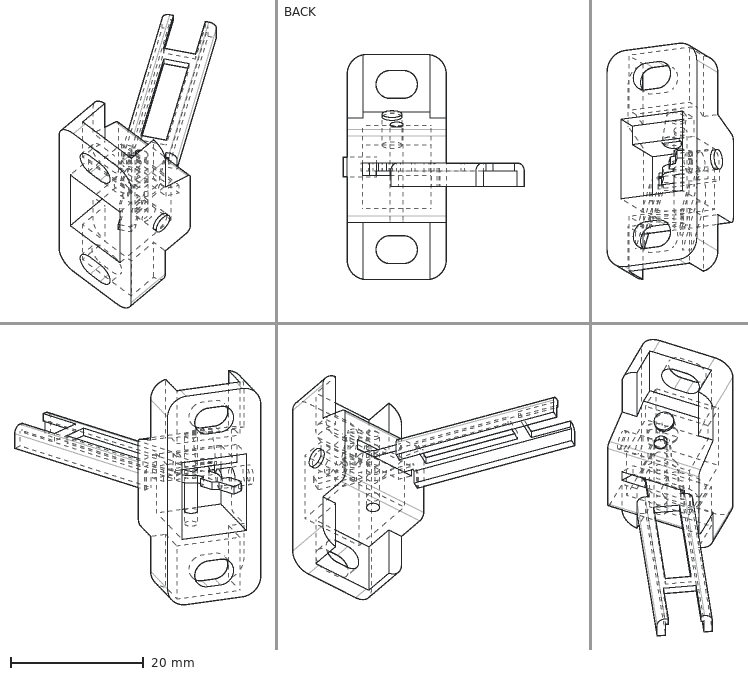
import cadquery as cq
import math


plate_width = 15.0
plate_height = 34.0
plate_thickness = 2.6
corner_radius = 3.0
ear_depth = 7.5
ear_width = 2.45
block_depth = 13.0
block_half_height = 8.35
slope_angle = 20.0
slope_start_y = 4.95
block_edge_radius = 1.0
slot_length = 6.2
slot_height = 4.15
slot_offset_z = 12.45

cavity_width = 10.3
cavity_half_height = 6.25
cavity_depth = 11.2
cavity_ceiling_z = 3.35
ceiling_step_y = 4.0
opening_half_width = 4.1
opening_bottom_z = -1.25

pivot_y = 10.2
pin_radius = 1.0
pin_top_z = 6.0

screw_radius = 1.5
screw_length = 5.0
side_screw_protrusion = 0.6
side_screw_y = 6.37
top_screw_x = 0.7
top_screw_y = 7.1
top_screw_protrusion = 0.47

key_angle = 30.0
key_thickness = 1.2
key_length = 31.22
key_half_width = 4.2
rail_start = 5.5
rail_height = 3.58
rail_leg_thickness = 1.3
rail_edge_radius = 1.18
neck_half_width = 2.48
key_window_half_width = 1.95
key_window_start = 7.82
key_window_end = 22.8
fork_start = 24.8
hub_radius = 2.75
tail_left = -1.35
tail_right = 1.05
tail_end = -9.5
tail_corner_radius = 0.8
lobe_left = -2.05
lobe_start = -3.58
lobe_end = -5.85
lobe_chamfer_end = -6.65

slope_radians = math.radians(slope_angle)
key_radians = math.radians(key_angle)
key_top_z = key_thickness / 2


def slope_height(y):
    """Z of the sloped top of the housing block at the given Y."""
    return block_half_height - (y - slope_start_y) * math.tan(slope_radians)


def box(x_range, y_range, z_range):
    """Box between two limits on each axis."""
    limits = (x_range, y_range, z_range)
    size = [high - low for low, high in limits]
    corner = [low for low, high in limits]
    return cq.Workplane("XY").box(*size, centered=False).translate(tuple(corner))


def make_flange():
    """Rounded mounting plate whose two sides reach back as ears."""
    inner_half_width = plate_width / 2 - ear_width
    flange = (
        cq.Workplane("XZ")
        .rect(plate_width, plate_height)
        .extrude(-ear_depth)
        .edges("|Y")
        .fillet(corner_radius)
    )
    recess = box(
        (-inner_half_width, inner_half_width),
        (plate_thickness, ear_depth),
        (-plate_height / 2, plate_height / 2),
    )
    return flange.cut(recess)


def make_block():
    """Central block with a sloped top and rounded rear edges."""
    return (
        cq.Workplane("YZ")
        .polyline([
            (0, -block_half_height),
            (block_depth, -block_half_height),
            (block_depth, slope_height(block_depth)),
            (slope_start_y, block_half_height),
            (0, block_half_height),
        ])
        .close()
        .extrude(plate_width / 2, both=True)
        .faces(">Y")
        .edges("|X")
        .fillet(block_edge_radius)
    )


def make_mounting_slots():
    """Two oblong screw slots through the mounting plate."""
    return (
        cq.Workplane("XZ")
        .pushPoints([(0, -slot_offset_z), (0, slot_offset_z)])
        .slot2D(slot_length, slot_height)
        .extrude(-plate_thickness)
    )


def make_cavity():
    """Front window that steps down to a lower ceiling deeper inside."""
    x_range = (-cavity_width / 2, cavity_width / 2)
    window = box(x_range, (0, ceiling_step_y), (-cavity_half_height, cavity_half_height))
    chamber = box(x_range, (0, cavity_depth), (-cavity_half_height, cavity_ceiling_z))
    return window.union(chamber)


def make_key_opening():
    """Opening in the rear wall, flared at the key angle."""
    flare = (block_depth - cavity_depth) * math.tan(key_radians)
    outer_half_width = opening_half_width + flare
    return (
        cq.Workplane("XY")
        .workplane(offset=opening_bottom_z)
        .polyline([
            (-opening_half_width, cavity_depth),
            (opening_half_width, cavity_depth),
            (outer_half_width, block_depth),
            (-outer_half_width, block_depth),
        ])
        .close()
        .extrude(key_top_z - opening_bottom_z)
    )


def make_pin(top_z):
    """Vertical pivot pin from the underside of the block up to the given height."""
    return (
        cq.Workplane("XY")
        .workplane(offset=-block_half_height)
        .center(0, pivot_y)
        .circle(pin_radius)
        .extrude(top_z + block_half_height)
    )


def make_screw(surface_point, outward, protrusion):
    """Adjusting screw that stands out of a housing surface along its normal."""
    outward = cq.Vector(*outward)
    head = cq.Vector(*surface_point) + outward * protrusion
    return cq.Workplane(cq.Plane(head, normal=-outward)).circle(screw_radius).extrude(screw_length)


def make_rails():
    """Two rails of the key, each an angle section with a rounded outer top edge."""
    bottom_z = key_top_z - rail_height
    leg_inner = key_half_width - rail_leg_thickness
    rail = (
        cq.Workplane("XZ", origin=(0, rail_start, 0))
        .moveTo(neck_half_width, key_top_z)
        .lineTo(key_half_width - rail_edge_radius, key_top_z)
        .radiusArc((key_half_width, key_top_z - rail_edge_radius), rail_edge_radius)
        .lineTo(key_half_width, bottom_z)
        .lineTo(leg_inner, bottom_z)
        .lineTo(leg_inner, -key_top_z)
        .lineTo(neck_half_width, -key_top_z)
        .close()
        .extrude(rail_start - key_length)
    )
    return rail.union(rail.mirror("YZ"))


def make_tail():
    """Tail of the key, with a side lobe and a rounded tip corner."""
    return (
        cq.Workplane("XY")
        .polyline([
            (tail_left, 0),
            (tail_left, lobe_start),
            (lobe_left, lobe_start),
            (lobe_left, lobe_end),
            (tail_left, lobe_chamfer_end),
            (tail_left, tail_end),
            (tail_right, tail_end),
            (tail_right, 0),
        ])
        .close()
        .extrude(key_top_z, both=True)
        .edges("|Z and >X and <Y")
        .fillet(tail_corner_radius)
    )


def make_key():
    """Forked key with rails, hub and tail, turned about the pivot."""
    z_range = (-key_top_z, key_top_z)
    web = box((-neck_half_width, neck_half_width), (0, fork_start), z_range)
    window = box(
        (-key_window_half_width, key_window_half_width),
        (key_window_start, key_window_end),
        z_range,
    )
    hub = cq.Workplane("XY").circle(hub_radius).extrude(key_top_z, both=True)
    key = web.union(hub).union(make_tail()).cut(window).union(make_rails())
    return key.rotate((0, 0, 0), (0, 0, 1), key_angle).translate((0, pivot_y, 0))


pin = make_pin(pin_top_z)
screws = [
    make_screw((plate_width / 2, side_screw_y, 0), (1, 0, 0), side_screw_protrusion),
    make_screw(
        (top_screw_x, top_screw_y, slope_height(top_screw_y)),
        (0, math.sin(slope_radians), math.cos(slope_radians)),
        top_screw_protrusion,
    ),
]

housing = (
    make_flange()
    .union(make_block())
    .cut(make_mounting_slots())
    .cut(make_cavity())
    .cut(make_key_opening())
    .cut(make_pin(block_half_height))
)
key = make_key().cut(pin)
for screw in screws:
    housing = housing.cut(screw)
    key = key.cut(screw)
housing = housing.cut(key)

result = cq.Compound.makeCompound([
    housing.val(),
    key.val(),
    pin.val(),
    *[screw.val() for screw in screws],
])